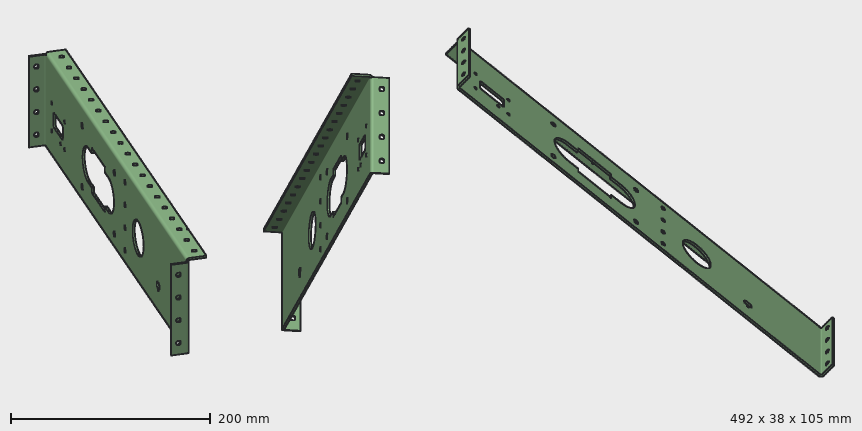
import cadquery as cq

length = 492.0
depth = 38.0
height = 105.0

sheet = 2.5
bend_inner = 1.0
bend_outer = bend_inner + sheet
web_front = -2.2
web_back = web_front + sheet
web_top = height - bend_outer
flat_half = length / 2 - bend_outer
past_sheet = 4 * sheet

mount_diameter = 5.0
top_row_count = 19
top_row_span = 456.5
top_row_y = 10.5
column_count = 4
column_span = 76.5
column_z = 51.0
column_x = 31.0
end_flange_hole_y = -11.5

opening_x = -61.0
opening_z = 48.0
obround_length = 108.0
obround_height = 38.5
step_width = 44.5
step_height = 50.0
opening_screw_diameter = 6.0
opening_screw_pitch_x = 111.0
opening_screw_pitch_z = 68.5

round_x = 76.5
round_diameter = 38.0

keyed_x = 145.0
keyed_z = 28.0
keyed_length = 10.5
keyed_height = 6.5
notch_width = 2.5
notch_depth = 6.0

window_x = -199.2
window_z = 42.5
window_width = 32.5
window_height = 16.0
window_corner = 2.5
window_screw_diameter = 3.5
window_screw_pitch_x = 44.5
window_screw_pitch_z = 31.0
extra_screw_x = -191.0


def spaced(count, span, centre=0.0):
    """Evenly spaced positions over a span."""
    return [centre - span / 2 + i * span / (count - 1) for i in range(count)]


def front_plane(x, z):
    """Sketch plane on the XZ directions, just in front of the web."""
    return cq.Workplane("XZ", origin=(x, web_front - sheet, z))


def web_holes(points, diameter):
    """Round cutters through the web at (x, z) points."""
    return front_plane(0, 0).pushPoints(points).circle(diameter / 2).extrude(-past_sheet)


def channel():
    """Web and both end flanges, which fold toward -Y."""
    half = length / 2
    profile = (
        cq.Workplane("XY")
        .moveTo(-half, -depth / 2)
        .lineTo(-half, web_back - bend_outer)
        .radiusArc((-flat_half, web_back), bend_outer)
        .lineTo(flat_half, web_back)
        .radiusArc((half, web_back - bend_outer), bend_outer)
        .lineTo(half, -depth / 2)
        .lineTo(half - sheet, -depth / 2)
        .lineTo(half - sheet, web_back - bend_outer)
        .radiusArc((flat_half, web_front), -bend_inner)
        .lineTo(-flat_half, web_front)
        .radiusArc((-half + sheet, web_back - bend_outer), -bend_inner)
        .lineTo(-half + sheet, -depth / 2)
        .close()
    )
    return profile.extrude(web_top)


def top_flange():
    """Flange folded from the web top toward +Y, as long as the flat web."""
    bend_end_y = web_front + bend_outer
    profile = (
        cq.Workplane("YZ", origin=(-flat_half, 0, 0))
        .moveTo(web_front, web_top)
        .radiusArc((bend_end_y, height), bend_outer)
        .lineTo(depth / 2, height)
        .lineTo(depth / 2, height - sheet)
        .lineTo(bend_end_y, height - sheet)
        .radiusArc((web_back, web_top), -bend_inner)
        .close()
    )
    return profile.extrude(2 * flat_half)


def mount_holes():
    """Top flange row, end flange columns and the column in the web."""
    radius = mount_diameter / 2
    column = spaced(column_count, column_span, column_z)
    top_row = (
        cq.Workplane("XY", origin=(0, top_row_y, height + sheet))
        .pushPoints([(x, 0) for x in spaced(top_row_count, top_row_span)])
        .circle(radius)
        .extrude(-past_sheet)
    )
    through_ends = (
        cq.Workplane("YZ", origin=(-length / 2 - sheet, 0, 0))
        .pushPoints([(end_flange_hole_y, z) for z in column])
        .circle(radius)
        .extrude(length + 2 * sheet)
    )
    web_column = web_holes([(column_x, z) for z in column], mount_diameter)
    return [top_row, through_ends, web_column]


def rectangle_points(x, z, pitch_x, pitch_z):
    """Corners of a rectangle centred on (x, z)."""
    return [(x + i * pitch_x / 2, z + j * pitch_z / 2) for i in (-1, 1) for j in (-1, 1)]


def stepped_opening():
    """Obround with a taller rectangle across its middle, and its four screws."""
    plane = front_plane(opening_x, opening_z)
    obround = plane.slot2D(obround_length, obround_height).extrude(-past_sheet)
    step = plane.rect(step_width, step_height).extrude(-past_sheet)
    points = rectangle_points(opening_x, opening_z, opening_screw_pitch_x, opening_screw_pitch_z)
    return [obround, step, web_holes(points, opening_screw_diameter)]


def window():
    """Rectangular window with rounded corners, and its five small screws."""
    opening = (
        front_plane(window_x, window_z)
        .rect(window_width, window_height)
        .extrude(-past_sheet)
        .edges("|Y")
        .fillet(window_corner)
    )
    points = rectangle_points(window_x, window_z, window_screw_pitch_x, window_screw_pitch_z)
    points.append((extra_screw_x, window_z - window_screw_pitch_z / 2))
    return [opening, web_holes(points, window_screw_diameter)]


def round_opening():
    """Large plain round opening."""
    return [web_holes([(round_x, opening_z)], round_diameter)]


def keyed_slot():
    """Short obround slot with a narrow notch below it."""
    plane = front_plane(keyed_x, keyed_z)
    slot = plane.slot2D(keyed_length, keyed_height).extrude(-past_sheet)
    notch = plane.center(0, -notch_depth / 2).rect(notch_width, notch_depth).extrude(-past_sheet)
    return [slot, notch]


result = channel().union(top_flange())
cutters = mount_holes() + stepped_opening() + window() + round_opening() + keyed_slot()
for cutter in cutters:
    result = result.cut(cutter)